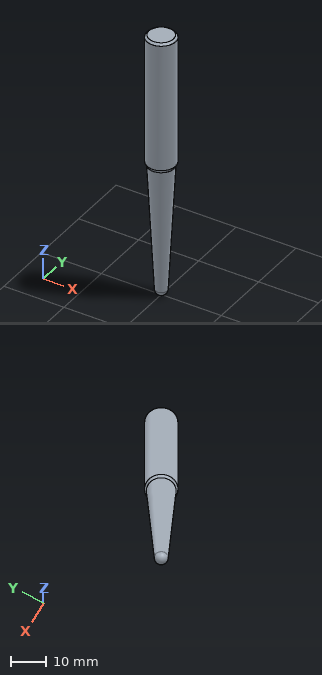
import cadquery as cq
import math

total_length = 88.9
shank_diameter = 9.5
top_chamfer = 0.7
taper_length = 44.5
taper_top_diameter = 8.45
tip_diameter = 4.0
shoulder_height = 1.1

shank_radius = shank_diameter / 2
taper_top_radius = taper_top_diameter / 2
tip_radius = tip_diameter / 2
shoulder_top = taper_length + shoulder_height


def make_shank():
    """Round shank with a chamfered top and a conical shoulder at its lower end."""
    return (
        cq.Workplane("XZ")
        .moveTo(0, taper_length)
        .lineTo(taper_top_radius, taper_length)
        .lineTo(shank_radius, shoulder_top)
        .lineTo(shank_radius, total_length - top_chamfer)
        .lineTo(shank_radius - top_chamfer, total_length)
        .lineTo(0, total_length)
        .close()
        .revolve(360, (0, 0, 0), (0, 1, 0))
    )


def make_tapered_tip():
    """Cone narrowing downward from the shank joint to a hemispherical nose."""
    arc_middle = tip_radius * math.sqrt(0.5)
    return (
        cq.Workplane("XZ")
        .moveTo(0, 0)
        .threePointArc((arc_middle, tip_radius - arc_middle), (tip_radius, tip_radius))
        .lineTo(taper_top_radius, taper_length)
        .lineTo(0, taper_length)
        .close()
        .revolve(360, (0, 0, 0), (0, 1, 0))
    )


shank = make_shank()
tapered_tip = make_tapered_tip()

result = cq.Compound.makeCompound([shank.val(), tapered_tip.val()])